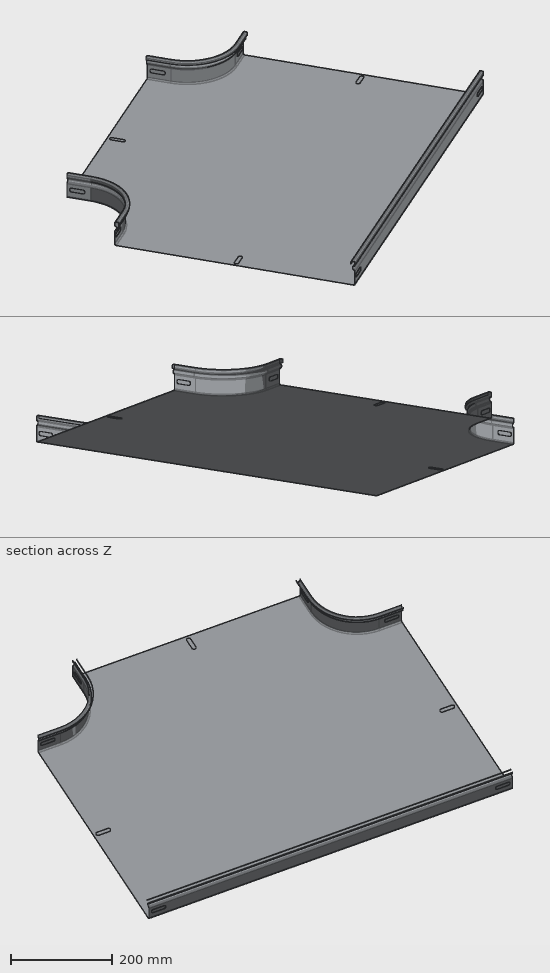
import cadquery as cq
import math

length = 801.0
width = 652.0
height = 54.5
sheet = 1.0
corner_cut = 150.0
straight = 50.0
corner_radius = corner_cut - straight
opening_y = length / 2 - corner_cut
curve_y = opening_y + corner_radius

floor_bend = 2.8
bead_bend = 2.8
bead_nose = 4.65
bead_apex = 10.0
bead_middle = 39.0
bead_half_height = 6.0
lip_bend = 2.8
lip_reach = 9.0
lip_drop = 7.0
floor_inset = 2 * floor_bend

slot_length = 32.0
slot_width = 9.0
slot_end_gap = 6.0
slot_depth = sheet / 3
wall_slot_height = 19.0

half_sheet = sheet / 2
slot_centre = slot_end_gap + slot_length / 2


def shifted(point, direction, offset):
    """Point moved sideways, to the left of a unit direction."""
    return (point[0] - direction[1] * offset, point[1] + direction[0] * offset)


def unit_direction(start, end):
    run = math.dist(start, end)
    return ((end[0] - start[0]) / run, (end[1] - start[1]) / run)


def bend_arc(corner, before, after, radius, offset):
    """Start, middle and end of a rounded bend, offset to the left of the middle line."""
    cross = before[0] * after[1] - before[1] * after[0]
    dot = before[0] * after[0] + before[1] * after[1]
    turn = math.atan2(cross, dot)
    setback = radius * math.tan(abs(turn) / 2)
    start = (corner[0] - before[0] * setback, corner[1] - before[1] * setback)
    signed_radius = math.copysign(radius, turn)
    centre = shifted(start, before, signed_radius)
    heading = math.atan2(before[1], before[0])
    angles = [heading + turn * part for part in (0, 0.5, 1)]
    return [shifted(centre, (math.cos(a), math.sin(a)), offset - signed_radius) for a in angles]


def bent_strip(points, radii):
    """Closed sheet section in XZ along a middle line, with one radius per inner point."""
    directions = [unit_direction(a, b) for a, b in zip(points, points[1:])]
    corners = list(zip(points[1:-1], directions, directions[1:], radii))
    left = [bend_arc(*corner, half_sheet) for corner in corners]
    right = [bend_arc(*corner, -half_sheet) for corner in corners]

    section = cq.Workplane("XZ").moveTo(*shifted(points[0], directions[0], half_sheet))
    for start, middle, end in left:
        section = section.lineTo(*start).threePointArc(middle, end)
    section = section.lineTo(*shifted(points[-1], directions[-1], half_sheet))
    section = section.lineTo(*shifted(points[-1], directions[-1], -half_sheet))
    for start, middle, end in reversed(right):
        section = section.lineTo(*end).threePointArc(middle, start)
    section = section.lineTo(*shifted(points[0], directions[0], -half_sheet))
    return section.close()


def wall_section(outer_x, inward):
    """Wall section with its outer face at outer_x; inward is +1 or -1 along X."""
    top = height - half_sheet
    bends = [
        (half_sheet, half_sheet, floor_bend),
        (half_sheet, bead_middle - bead_half_height, bead_bend),
        (bead_apex, bead_middle, bead_nose),
        (half_sheet, bead_middle + bead_half_height, bead_bend),
        (half_sheet, top, lip_bend),
        (lip_reach, top, lip_bend),
    ]
    floor_end = (floor_inset, half_sheet)
    lip_end = (lip_reach, height - lip_drop)
    middle_line = [floor_end] + [(x, z) for x, z, _ in bends] + [lip_end]
    points = [(outer_x + inward * x, z) for x, z in middle_line]
    return bent_strip(points, [radius for _, _, radius in bends])


def slot_recesses():
    """Cutter for one slot along X, sunk into both faces of a sheet resting on z = 0."""
    slot = cq.Workplane("XY").slot2D(slot_length, slot_width).extrude(slot_depth)
    return slot.union(slot.translate((0, 0, sheet - slot_depth)))


def floor_slot(x, y, angle):
    return slot_recesses().rotate((0, 0, 0), (0, 0, 1), angle).translate((x, y, 0))


def straight_wall(outer_x, inward, y_start, y_end, slot_y):
    """Wall along Y with a slot near one end."""
    wall = wall_section(outer_x, inward).extrude(y_start - y_end).translate((0, y_start, 0))
    slot = (
        slot_recesses()
        .rotate((0, 0, 0), (0, 0, 1), 90)
        .rotate((0, 0, 0), (0, 1, 0), inward * 90)
        .translate((outer_x, slot_y, wall_slot_height))
    )
    return wall.cut(slot)


def corner_wall():
    """Straight, curved and straight wall round the left-out corner at -X, +Y."""
    z_axis = ((0, 0, 0), (0, 0, 1))
    along_y = straight_wall(corner_cut, 1, curve_y, length / 2, length / 2 - slot_centre)
    curve = (
        wall_section(corner_radius, 1)
        .revolve(90, (0, 0, 0), (0, 1, 0))
        .rotate(*z_axis, -90)
        .translate((straight, curve_y, 0))
    )
    along_x = (
        straight_wall(0, 1, 0, straight, slot_centre)
        .rotate(*z_axis, -90)
        .translate((0, opening_y, 0))
    )
    return along_y.union(curve).union(along_x)


def floor_half():
    """Flat floor for y >= 0, reaching to where the walls bend up."""
    right_x = width - floor_inset
    left_x = corner_cut + floor_inset
    edge_y = opening_y - floor_inset
    return (
        cq.Workplane("XY")
        .lineTo(right_x, 0)
        .lineTo(right_x, length / 2)
        .lineTo(left_x, length / 2)
        .lineTo(left_x, curve_y)
        .radiusArc((straight, edge_y), corner_radius + floor_inset)
        .lineTo(0, edge_y)
        .close()
        .extrude(sheet)
    )


back_wall = straight_wall(width, -1, 0, length / 2, length / 2 - slot_centre)
half_tray = floor_half().union(back_wall).union(corner_wall())
result = half_tray.union(half_tray.mirror("XZ"))

branch_x = (corner_cut + width) / 2
result = result.cut(floor_slot(slot_centre, 0, 0))
for side in (1, -1):
    result = result.cut(floor_slot(branch_x, side * (length / 2 - slot_centre), 90))